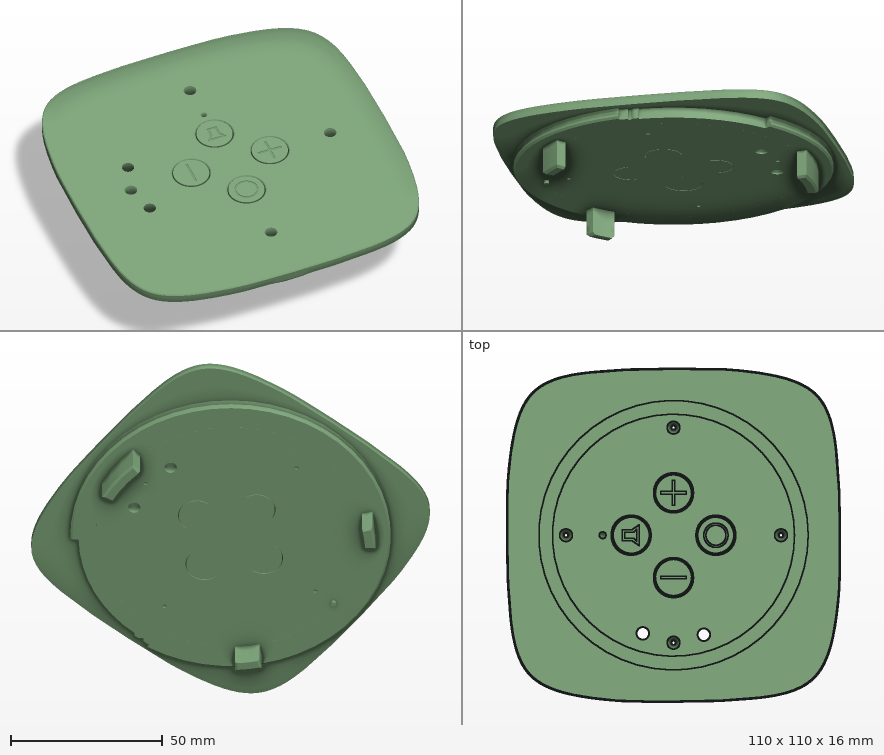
import cadquery as cq
import math

total_height = 16.0
plate_thickness = 3.1
base_depth = 6.6

half_width = 55.0
side_bow_x = 54.0
side_bow_y = 25.3
corner_reach = 46.8
top_chamfer = 0.3

skirt_radius = 52.8
skirt_neck_radius = 52.1
groove_top = 3.8
groove_bottom = 4.6
lip_top = 5.3
lip_bottom = 5.9

relief_radius = 50.0
relief_start = 173.3
relief_end = 231
stop_reach = 50.8
stop_top_y = 6.2
stop_slot_top_y = 3.2
stop_slot_bottom_y = 2.4
stop_bottom_y = -0.4
stop_round = 1.8
stop_root_depth = 1.1

ring_outer_radius = 88.8 / 2
leg_outer_radius = 47.8
leg_chamfer = 0.8
legs = [(45, 5.3), (135, 5.3), (270, 10)]

ring_inner_radius = 79.8 / 2
pin_diameter = 1.6
pin_length = 1.1
pin_y = 43.0

screw_circle_radius = 35.4
screw_head_diameter = 4.2
screw_hole_diameter = 1.3
screw_cone_angle = 40
peg_hole_diameter = 4.1
peg_hole_places = [(-10.1, -32.3), (10.0, -32.8)]
dimple_diameter = 2.2
dimple_depth = 1.6
dimple_x = -23.3

button_distance = 14.0
button_diameter = 12.0
button_hole_diameter = 12.5
button_hole_rim_diameter = 13.2
collar_height = 1.1

sign_depth = 0.2
bar_length = 8.4
bar_width = 0.9
circle_sign_outer = 8.0
circle_sign_inner = 6.6
horn_outer = [(-2.9, 1.8), (0.2, 1.8), (2.6, 3.4)]
horn_inner = [(-2.1, 1.0), (0.9, 1.0), (1.9, 2.0)]


def polar(radius, angle):
    """Point at a distance and an angle in degrees from the centre."""
    return (radius * math.cos(math.radians(angle)), radius * math.sin(math.radians(angle)))


def cylinder(diameter, height, top_z=0.0):
    """Upright cylinder on the centre axis, reaching down from top_z."""
    return cq.Workplane("XY").workplane(offset=top_z).circle(diameter / 2).extrude(-height)


def sector(inner_radius, outer_radius, start, end, top_z, bottom_z):
    """Part of an upright ring between two angles."""
    middle = (start + end) / 2
    return (
        cq.Workplane("XY")
        .workplane(offset=bottom_z)
        .moveTo(*polar(inner_radius, start))
        .lineTo(*polar(outer_radius, start))
        .threePointArc(polar(outer_radius, middle), polar(outer_radius, end))
        .lineTo(*polar(inner_radius, end))
        .threePointArc(polar(inner_radius, middle), polar(inner_radius, start))
        .close()
        .extrude(top_z - bottom_z)
    )


def turned(point, angle):
    """Point turned about the centre by an angle in degrees."""
    return polar(math.hypot(*point), math.degrees(math.atan2(point[1], point[0])) + angle)


def make_top_slab():
    """Rounded square slab whose outline is one smooth curve per quarter, joined at the side middles."""
    side_end = (half_width, 0)
    quarter = [
        (side_bow_x, side_bow_y),
        (corner_reach, corner_reach),
        (side_bow_y, side_bow_x),
        (0, half_width),
    ]
    outline = cq.Workplane("XY").workplane(offset=-plate_thickness).moveTo(*side_end)
    for turn in (0, 90, 180, 270):
        outline = outline.spline(
            [turned(point, turn) for point in quarter],
            tangents=[polar(1, turn + 90), polar(1, turn + 180)],
            includeCurrent=True,
        )
    return outline.close().extrude(plate_thickness).faces(">Z").chamfer(top_chamfer)


def make_skirt():
    """Grooved skirt with the relief cut out of its -X side."""
    skirt = (
        cq.Workplane("XZ")
        .moveTo(0, -plate_thickness)
        .lineTo(skirt_radius, -plate_thickness)
        .lineTo(skirt_neck_radius, -groove_top)
        .lineTo(skirt_neck_radius, -groove_bottom)
        .lineTo(skirt_radius, -lip_top)
        .lineTo(skirt_radius, -lip_bottom)
        .lineTo(skirt_neck_radius, -base_depth)
        .lineTo(0, -base_depth)
        .close()
        .revolve(360, (0, 0), (0, 1))
    )
    relief = sector(
        relief_radius, half_width, relief_start, relief_end, -plate_thickness, -base_depth
    )
    return skirt.cut(relief)


def make_stop():
    """Two blocks at the start of the relief, the one nearer -Y with a rounded corner."""
    height = base_depth - plate_thickness
    root_x = relief_radius - stop_root_depth

    def block(low_y, high_y):
        return cq.Workplane("XY").box(
            stop_reach - root_x, high_y - low_y, height, centered=False
        ).translate((-stop_reach, low_y, -base_depth))

    rounded = block(stop_bottom_y, stop_slot_bottom_y).edges("|Z and <X and >Y").fillet(stop_round)
    return block(stop_slot_top_y, stop_top_y).union(rounded)


def make_leg(direction, half_span):
    """Leg shaped as a ring sector, its foot chamfered except along the inner arc."""
    leg = sector(
        ring_outer_radius,
        leg_outer_radius,
        direction - half_span,
        direction + half_span,
        -base_depth,
        -total_height,
    )
    inner_arc = cq.NearestToPointSelector((0, 0, -total_height))
    return leg.faces("<Z").edges(cq.selectors.InverseSelector(inner_arc)).chamfer(leg_chamfer)


def make_plate():
    plate = make_top_slab().union(make_skirt()).union(make_stop())
    plate = plate.cut(cylinder(2 * ring_outer_radius, base_depth))
    for direction, half_span in legs:
        plate = plate.union(make_leg(direction, half_span))
    return plate


def make_ring():
    ring = cylinder(2 * ring_outer_radius, base_depth)
    ring = ring.cut(cylinder(2 * ring_inner_radius, base_depth))
    pin = cylinder(pin_diameter, pin_length, -base_depth).translate((0, pin_y, 0))
    return ring.union(pin)


def make_disc():
    chamfer = (button_hole_rim_diameter - button_hole_diameter) / 2
    disc = cylinder(2 * ring_inner_radius, base_depth)
    for angle in (0, 90, 180, 270):
        x, y = polar(button_distance, angle)
        hole = cylinder(button_hole_diameter, base_depth)
        rim = cq.Workplane("XY").circle(button_hole_rim_diameter / 2).extrude(-chamfer, taper=45)
        disc = disc.cut(hole.union(rim).translate((x, y, 0)))
    disc = (
        disc.faces(">Z")
        .workplane(origin=(0, 0, 0))
        .polarArray(screw_circle_radius, 0, 360, 4)
        .cskHole(screw_hole_diameter, screw_head_diameter, screw_cone_angle)
    )
    disc = (
        disc.faces(">Z")
        .workplane(origin=(0, 0, 0))
        .pushPoints(peg_hole_places)
        .hole(peg_hole_diameter)
    )
    dimple = cq.Solid.makeCone(
        dimple_diameter / 2, 0, dimple_depth, pnt=cq.Vector(dimple_x, 0, 0), dir=cq.Vector(0, 0, -1)
    )
    return disc.cut(cq.Workplane(dimple))


def bar_sign(length, width):
    return cq.Workplane("XY").rect(length, width).extrude(-sign_depth)


def plus_sign():
    return bar_sign(bar_length, bar_width).union(bar_sign(bar_width, bar_length))


def minus_sign():
    return bar_sign(bar_length, bar_width)


def circle_sign():
    return cylinder(circle_sign_outer, sign_depth).cut(cylinder(circle_sign_inner, sign_depth))


def horn_sign():
    """Band between two loudspeaker outlines, each mirrored about its axis."""

    def horn(upper):
        lower = [(x, -y) for x, y in reversed(upper)]
        return cq.Workplane("XY").polyline(upper + lower).close().extrude(-sign_depth)

    return horn(horn_outer).cut(horn(horn_inner))


def make_button(angle, sign):
    """Button with a half collar that meets the hole on the side facing the centre."""
    collar = sector(
        button_diameter / 4,
        button_hole_diameter / 2,
        angle + 90,
        angle + 270,
        collar_height - base_depth,
        -base_depth,
    )
    button = cylinder(button_diameter, base_depth).union(collar).cut(sign)
    x, y = polar(button_distance, angle)
    return button.translate((x, y, 0))


plate = make_plate()
ring = make_ring()
disc = make_disc()
signs = [(0, circle_sign()), (90, plus_sign()), (180, horn_sign()), (270, minus_sign())]
buttons = [make_button(angle, sign) for angle, sign in signs]

result = cq.Compound.makeCompound(
    [plate.val(), ring.val(), disc.val(), *[button.val() for button in buttons]]
)